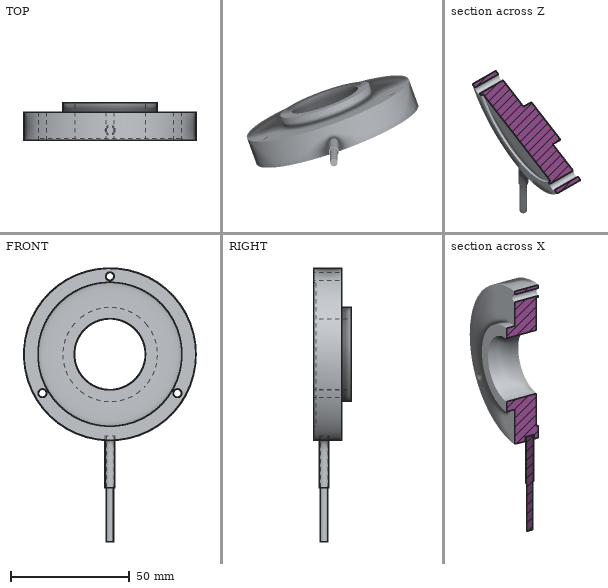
import cadquery as cq


ring_diameter = 73.0
ring_thickness = 12.0
boss_diameter = 40.0
boss_height = 4.0
bore_diameter = 30.0
recess_diameter = 61.0
recess_depth = 1.0

hole_count = 3
hole_diameter = 3.4
hole_circle_radius = 33.0
first_hole_angle = 90.0

sleeve_diameter = 4.2
sleeve_exposed_length = 20.0
cable_diameter = 3.2
cable_exposed_length = 23.0
cable_offset = 4.4
socket_depth = 2.0

ring_radius = ring_diameter / 2
housing_depth = ring_thickness + boss_height
socket_floor_z = -ring_radius + socket_depth
sleeve_end_z = -ring_radius - sleeve_exposed_length
cable_end_z = sleeve_end_z - cable_exposed_length


def cylinder_along_y(diameter, start_y, length):
    """Cylinder on the ring axis, running towards +Y from start_y."""
    return cq.Workplane("XZ", origin=(0, start_y, 0)).circle(diameter / 2).extrude(-length)


def cylinder_up_from(diameter, bottom_z, top_z):
    """Vertical cylinder on the cable axis."""
    base = cq.Workplane("XY", origin=(0, cable_offset, bottom_z))
    return base.circle(diameter / 2).extrude(top_z - bottom_z)


def make_mounting_holes():
    return (
        cq.Workplane("XZ")
        .polarArray(hole_circle_radius, first_hole_angle, 360, hole_count)
        .circle(hole_diameter / 2)
        .extrude(-ring_thickness)
    )


def make_housing():
    """Ring with a rear boss, a front recess and a blind socket in the rim for the sleeve."""
    ring = cylinder_along_y(ring_diameter, 0, ring_thickness)
    boss = cylinder_along_y(boss_diameter, ring_thickness, boss_height)
    bore = cylinder_along_y(bore_diameter, 0, housing_depth)
    recess = cylinder_along_y(recess_diameter, 0, recess_depth)
    socket = cylinder_up_from(sleeve_diameter, sleeve_end_z, socket_floor_z)
    return ring.union(boss).cut(bore).cut(recess).cut(make_mounting_holes()).cut(socket)


def make_sleeve():
    """Tube around the cable, seated in the socket of the ring."""
    outside = cylinder_up_from(sleeve_diameter, sleeve_end_z, socket_floor_z)
    passage = cylinder_up_from(cable_diameter, sleeve_end_z, socket_floor_z)
    return outside.cut(passage)


def make_cable():
    """Cable running through the sleeve and ending on the socket floor."""
    return cylinder_up_from(cable_diameter, cable_end_z, socket_floor_z)


housing = make_housing()
sleeve = make_sleeve()
cable = make_cable()

result = cq.Compound.makeCompound([housing.val(), sleeve.val(), cable.val()])